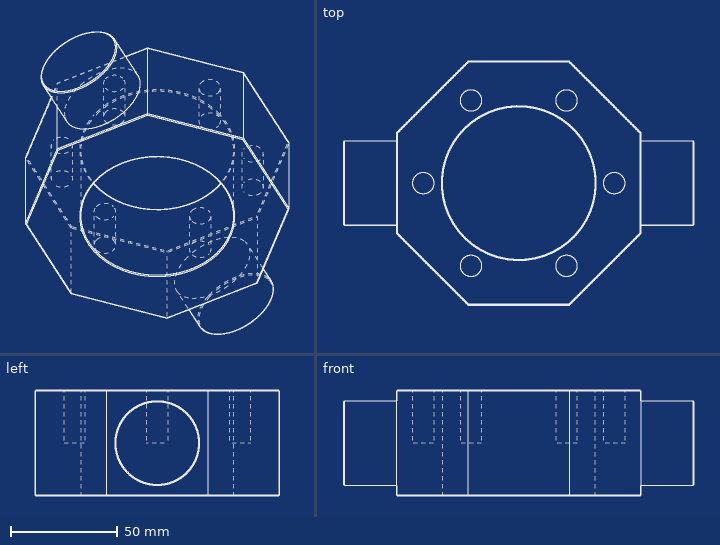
import cadquery as cq
import math

overall_length = 165.0
body_sides = 8
across_flats = 115.0
body_height = 50.0
bore_diameter = 72.0
trunnion_diameter = 40.0
hole_diameter = 10.0
hole_circle_diameter = 90.0
hole_count = 6
hole_depth = body_height / 2
edge_chamfer = 0.5

half_side_angle = math.pi / body_sides
across_corners = across_flats / math.cos(half_side_angle)


def centred_cylinder(plane, diameter, length):
    """Cylinder centred on the origin, with its axis normal to the plane."""
    return cq.Workplane(plane).circle(diameter / 2).extrude(length / 2, both=True)


bore = centred_cylinder("XY", bore_diameter, body_height)

body = (
    cq.Workplane("XY")
    .polygon(body_sides, across_corners)
    .extrude(body_height / 2, both=True)
    .rotate((0, 0, 0), (0, 0, 1), math.degrees(half_side_angle))
    .cut(bore)
    .faces("|Z")
    .chamfer(edge_chamfer)
)

trunnions = (
    centred_cylinder("YZ", trunnion_diameter, overall_length)
    .faces("|X")
    .chamfer(edge_chamfer)
    .cut(bore)
)

holes = (
    cq.Workplane("XY", origin=(0, 0, body_height / 2))
    .polarArray(hole_circle_diameter / 2, 0, 360, hole_count)
    .circle(hole_diameter / 2)
    .extrude(-hole_depth)
)

result = body.union(trunnions).cut(holes)